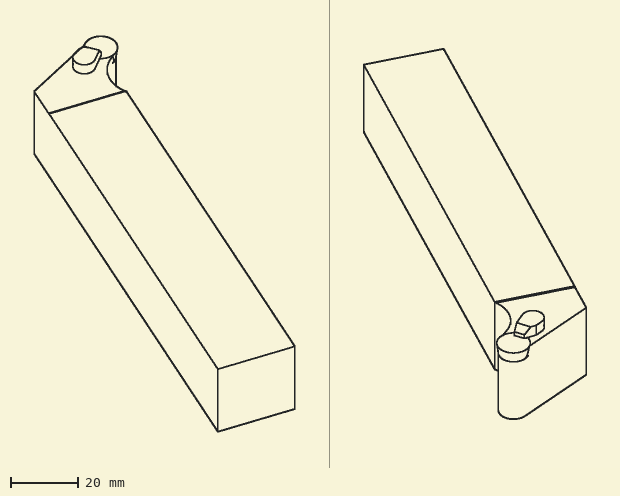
import cadquery as cq
import math


total_length = 150.0
shank_width = 25.0
shank_height = 25.0

head_drop = 0.1
head_height = shank_height - head_drop
step_end_x = 26.0
step_run = 0.5

insert_radius = 5.0
insert_thickness = 3.6
insert_relief_angle = 7.0
insert_y = 26.05
insert_x = insert_radius
insert_base_radius = insert_radius - insert_thickness * math.tan(math.radians(insert_relief_angle))

nose_radius = insert_base_radius
front_corner_x = 14.8
neck_radius = 11.1
neck_angle = 45.0

clamp_x = 10.6
clamp_y = 18.1
clamp_direction = 135.0
clamp_top = 28.5
clamp_tail_radius = 3.39
beak_reach = 6.1
beak_right = -3.0
beak_left = 0.3
flank_bend = (3.0, 2.7)
bevel_start = 4.5
lip_height = 1.3


def nose_point(angle):
    """Point on the nose arc at the given angle in radians."""
    return (insert_x + nose_radius * math.cos(angle), insert_y + nose_radius * math.sin(angle))


def holder_blank():
    """Holder outline, raised to the full shank height."""
    corner_dx = insert_x - front_corner_x
    corner_distance = math.hypot(corner_dx, insert_y)
    side_angle = math.atan2(insert_y, corner_dx) + math.asin(nose_radius / corner_distance)
    nose_start = nose_point(side_angle + math.pi / 2)
    tangent_angle = math.radians(neck_angle)
    nose_end = nose_point(tangent_angle)

    side_level = nose_end[0] + nose_end[1]
    center_level = side_level + neck_radius * math.sqrt(2)
    level_gap = center_level - step_end_x - shank_width
    rise_minus_run = math.sqrt(2 * neck_radius ** 2 - level_gap ** 2)
    center_x = step_end_x + (level_gap - rise_minus_run) / 2
    center_y = shank_width + (level_gap + rise_minus_run) / 2
    neck_start = (
        center_x - neck_radius * math.cos(tangent_angle),
        center_y - neck_radius * math.sin(tangent_angle),
    )
    neck_bottom = (center_x, center_y - neck_radius)

    return (
        cq.Workplane("XY")
        .moveTo(front_corner_x, 0)
        .lineTo(*nose_start)
        .threePointArc(nose_point((side_angle + math.pi / 2 + tangent_angle) / 2), nose_end)
        .lineTo(*neck_start)
        .threePointArc(neck_bottom, (step_end_x, shank_width))
        .lineTo(total_length, shank_width)
        .lineTo(total_length, 0)
        .close()
        .extrude(shank_height)
    )


def head_relief():
    """Material above the head, ending in a short slope up to the shank."""
    return (
        cq.Workplane("XZ")
        .moveTo(-insert_radius, shank_height)
        .lineTo(-insert_radius, head_height)
        .lineTo(step_end_x - step_run, head_height)
        .lineTo(step_end_x, shank_height)
        .close()
        .extrude(-2 * shank_width)
    )


def make_insert():
    """Round insert that narrows downward by its relief angle."""
    return (
        cq.Workplane("XY", origin=(insert_x, insert_y, head_height))
        .circle(insert_radius)
        .extrude(-insert_thickness, taper=insert_relief_angle)
    )


def make_clamp():
    """Clamp with a round tail and a bevelled beak over the insert."""
    clamp_height = clamp_top - head_height
    body = (
        cq.Workplane("XY")
        .moveTo(0, -clamp_tail_radius)
        .lineTo(beak_reach, beak_right)
        .lineTo(beak_reach, beak_left)
        .lineTo(*flank_bend)
        .lineTo(0, clamp_tail_radius)
        .threePointArc((-clamp_tail_radius, 0), (0, -clamp_tail_radius))
        .close()
        .extrude(clamp_height)
    )
    bevel = (
        cq.Workplane("XZ")
        .moveTo(bevel_start, clamp_height)
        .lineTo(beak_reach, lip_height)
        .lineTo(beak_reach, clamp_height)
        .close()
        .extrude(clamp_tail_radius, both=True)
    )
    return (
        body.cut(bevel)
        .rotate((0, 0, 0), (0, 0, 1), clamp_direction)
        .translate((clamp_x, clamp_y, head_height))
    )


insert = make_insert()
holder = holder_blank().cut(head_relief()).cut(insert).union(make_clamp())

result = cq.Compound.makeCompound([holder.solids().val(), insert.val()])